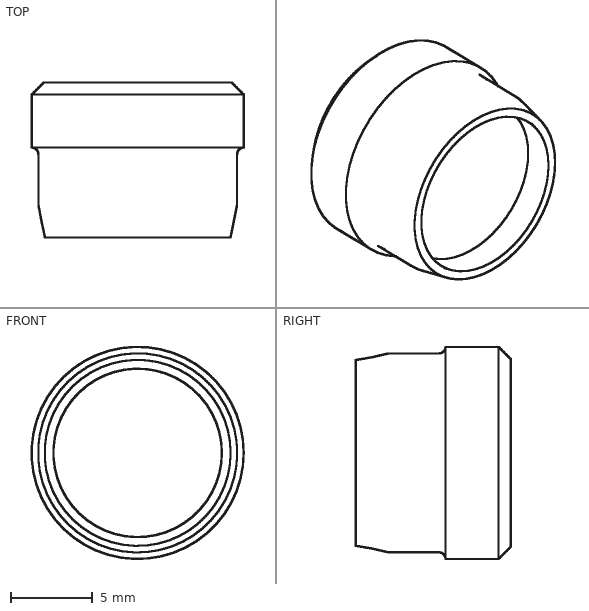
import cadquery as cq
import math

length = 9.5
collar_radius = 6.5
body_radius = 6.1
tip_radius = 5.7
bore_radius = 5.15
collar_length = 4.0
taper_length = 2.0
rear_chamfer = 0.75

undercut_depth = 1.9
undercut_fillet = 0.17

taper_angle = math.atan2(body_radius - tip_radius, taper_length)
shoulder_y = length - collar_length
shoulder_fillet = collar_radius - body_radius
half_diagonal = math.sqrt(0.5)


def outer_body():
    """Solid with the taper, the filleted shoulder and the chamfered collar."""
    arc_middle = shoulder_fillet * (1 - half_diagonal)
    return (
        cq.Workplane("XY")
        .lineTo(tip_radius, 0)
        .lineTo(body_radius, taper_length)
        .lineTo(body_radius, shoulder_y - shoulder_fillet)
        .threePointArc(
            (body_radius + arc_middle, shoulder_y - arc_middle),
            (collar_radius, shoulder_y),
        )
        .lineTo(collar_radius, length - rear_chamfer)
        .lineTo(collar_radius - rear_chamfer, length)
        .lineTo(0, length)
        .close()
        .revolve(360, (0, 0), (0, 1))
    )


def inner_space():
    """Through bore with the undercut, rounded where its cone meets its end face."""
    arc_y = undercut_depth - undercut_fillet
    cone_end_y = arc_y - undercut_fillet * math.sin(taper_angle)
    cone_end_radius = bore_radius + cone_end_y * math.tan(taper_angle)
    arc_radius = cone_end_radius - undercut_fillet * math.cos(taper_angle)
    arc_middle = undercut_fillet * half_diagonal
    return (
        cq.Workplane("XY")
        .lineTo(bore_radius, 0)
        .lineTo(cone_end_radius, cone_end_y)
        .threePointArc(
            (arc_radius + arc_middle, arc_y + arc_middle),
            (arc_radius, undercut_depth),
        )
        .lineTo(bore_radius, undercut_depth)
        .lineTo(bore_radius, length)
        .lineTo(0, length)
        .close()
        .revolve(360, (0, 0), (0, 1))
    )


result = outer_body().cut(inner_space())